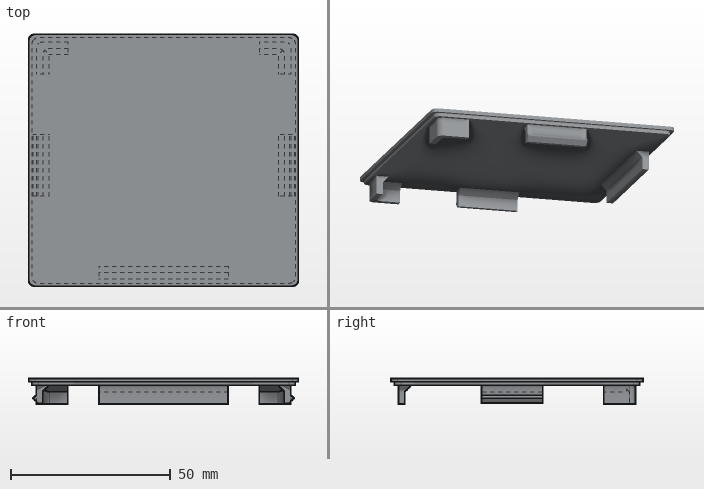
import cadquery as cq

length_x = 84.6
width_y = 79.0
height = 8.0
rim_thickness = 1.1
step_thickness = 1.1
step_inset = 1.0
corner_radius = 2.0
plate_bottom = -(rim_thickness + step_thickness)

wall = 2.0
leg_inset = 2.4
root_chamfer = 1.95
leg_x = length_x / 2 - leg_inset
leg_y = width_y / 2 - leg_inset
leg_height = height + plate_bottom

front_wall_length = 40.4
post_arm = 10.0

clip_width = 19.3
clip_center_y = -1.5
clip_bottom = -7.7
barb_start = -5.25
barb_tip = -6.2
barb_reach = 1.0
clip_toe_inset = 0.5


def rounded_slab(inset, top, thickness):
    """Rounded rectangular slab hanging down from the given top height."""
    return (
        cq.Workplane("XY", origin=(0, 0, top))
        .rect(length_x - 2 * inset, width_y - 2 * inset)
        .extrude(-thickness)
        .edges("|Z")
        .fillet(corner_radius)
    )


def front_wall():
    """Straight wall on the -Y side with a chamfered root on its inner face."""
    outer = -leg_y
    inner = outer + wall
    return (
        cq.Workplane("YZ")
        .moveTo(outer, plate_bottom)
        .lineTo(outer, -height)
        .lineTo(inner, -height)
        .lineTo(inner, plate_bottom - root_chamfer)
        .lineTo(inner + root_chamfer, plate_bottom)
        .close()
        .extrude(front_wall_length / 2, both=True)
    )


def snap_clip():
    """Clip on the +X side: chamfered root inside, pointed barb outside."""
    inner = leg_x - wall
    return (
        cq.Workplane("XZ", origin=(0, clip_center_y, 0))
        .moveTo(inner - root_chamfer, plate_bottom)
        .lineTo(inner, plate_bottom - root_chamfer)
        .lineTo(inner, clip_bottom)
        .lineTo(leg_x - clip_toe_inset, clip_bottom)
        .lineTo(leg_x + barb_reach, barb_tip)
        .lineTo(leg_x, barb_start)
        .lineTo(leg_x, plate_bottom)
        .close()
        .extrude(clip_width / 2, both=True)
    )


def corner_block(inset):
    """Sharp block filling the +X +Y post corner, set in from the post's outer faces."""
    size = post_arm - inset
    return (
        cq.Workplane("XY", origin=(leg_x - post_arm, leg_y - post_arm, plate_bottom))
        .rect(size, size, centered=False)
        .extrude(-leg_height)
    )


def round_corner(block):
    """Round the vertical edge at the +X +Y corner of a block."""
    return block.edges("|Z and >X and >Y").fillet(corner_radius)


def corner_post():
    """Rounded L-shaped post at the +X +Y corner with a chamfered root inside."""
    sharp_hollow = corner_block(wall)
    chamfered_hollow = sharp_hollow.faces(">Z").edges(">X or >Y").chamfer(root_chamfer)
    hollow = chamfered_hollow.intersect(round_corner(sharp_hollow))
    return round_corner(corner_block(0)).cut(hollow)


rim = rounded_slab(0, 0, rim_thickness)
step = rounded_slab(step_inset, -rim_thickness, step_thickness)
right_clip = snap_clip()
right_post = corner_post()

result = rim.union(step).union(front_wall())
for leg in (right_clip, right_post):
    result = result.union(leg).union(leg.mirror("YZ"))